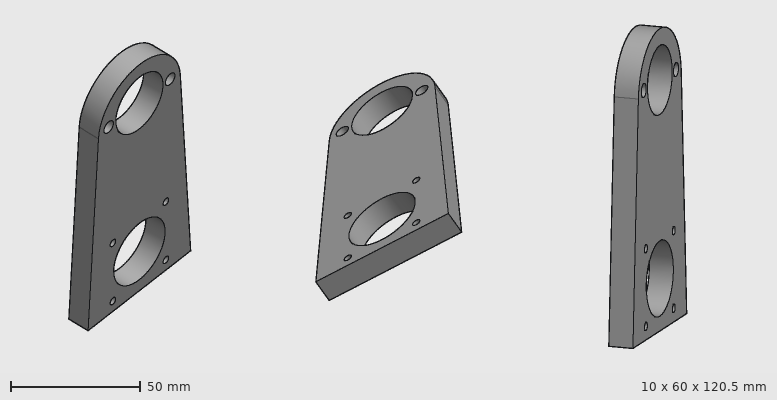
import cadquery as cq
import math

thickness = 10.0
height = 120.5
foot_half_width = 60.0 / 2
head_radius = 24.0
head_center_z = height - head_radius

upper_bore_diameter = 27.5
upper_bore_z = 100.0
upper_bolt_diameter = 5.5
upper_bolt_offset = 18.0

lower_bore_diameter = 30.0
lower_bore_z = 21.0
screw_diameter = 3.3
screw_spacing = 31.0


def plate():
    """Plate outline whose flanks run tangent into the round head."""
    foot_distance = math.hypot(foot_half_width, head_center_z)
    tangent_angle = math.acos(head_radius / foot_distance) - math.atan2(head_center_z, foot_half_width)
    tangent_y = head_radius * math.cos(tangent_angle)
    tangent_z = head_center_z + head_radius * math.sin(tangent_angle)
    return (
        cq.Workplane("YZ", origin=(-thickness / 2, 0, 0))
        .moveTo(-foot_half_width, 0)
        .lineTo(foot_half_width, 0)
        .lineTo(tangent_y, tangent_z)
        .threePointArc((0, height), (-tangent_y, tangent_z))
        .close()
        .extrude(thickness)
    )


def through_holes(diameter, centers):
    """Cutters along X at the given (y, z) centers."""
    return (
        cq.Workplane("YZ", origin=(-thickness / 2, 0, 0))
        .pushPoints(centers)
        .circle(diameter / 2)
        .extrude(thickness)
    )


upper_bolt_centers = [(side * upper_bolt_offset, upper_bore_z) for side in (-1, 1)]
screw_centers = [
    (side * screw_spacing / 2, lower_bore_z + level * screw_spacing / 2)
    for side in (-1, 1)
    for level in (-1, 1)
]

result = (
    plate()
    .cut(through_holes(upper_bore_diameter, [(0, upper_bore_z)]))
    .cut(through_holes(upper_bolt_diameter, upper_bolt_centers))
    .cut(through_holes(lower_bore_diameter, [(0, lower_bore_z)]))
    .cut(through_holes(screw_diameter, screw_centers))
)